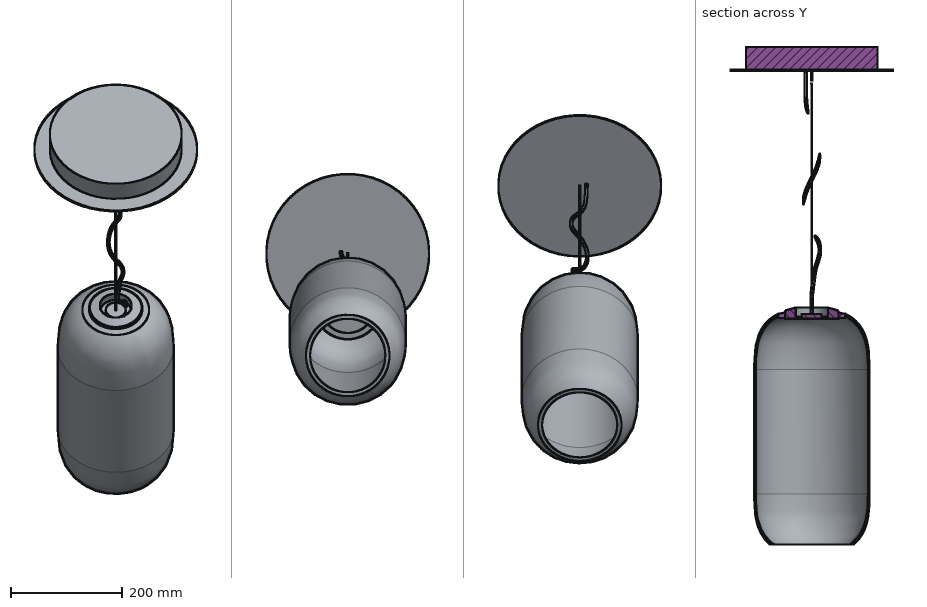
import cadquery as cq
import math

TOTAL_HEIGHT = 894.28

CANOPY_RADIUS = 118.5
CANOPY_HEIGHT = 41.0
PLATE_RADIUS = 146.47
PLATE_THICKNESS = 2.5

WIRE_RADIUS = 1.0
STUB_RADIUS = 1.5
STUB_LENGTH = 17.0
STUB_GAP = 5.0

CORD_RADIUS = 2.4
CORD_TOP_X = -10.8
CORD_TOP_Y = 6.0
CORD_BEND_START_Y = 6.5
CORD_BEND_END_Y = 13.0
CORD_BEND_RISE = 8.0
CORD_LOOPS = [
    (-10.6, 3.5, 810),
    (-9, 0.5, 786),
    (-3, -4, 767),
    (9, -5.5, 746),
    (14.8, -4, 714),
    (12, 1, 686),
    (0, 4.5, 657),
    (-11, 1.5, 632),
    (-15, -4, 602),
    (-9, -7.5, 577),
    (1, -5, 561),
    (12.5, 3, 543),
    (14.5, 5, 525),
    (7.5, 4.5, 499),
    (3, 4.5, 472),
    (0, 4.5, 444),
]

SHADE_RADIUS = 104.5
SHADE_WALL = 4.0
SHADE_STRAIGHT = 223.0
DOME_HEIGHT = 109.5
DOME_EXPONENT = 2.8
DOME_POINTS = 6
RIM_RADIUS = 75.0
OPENING_RADIUS = 60.0

COLLAR_RISE = 2.5
COLLAR_DEPTH = 8.0
CAP_RADIUS = 48.0
CAP_BAND = 4.0
CAP_EDGE_HEIGHT = 1.5
CAP_CONE_RISE = 5.0
CAP_CONE_RADIUS = 46.5
PIT_RADIUS = 28.5
PIT_DEPTH = 17.0
HUB_RADIUS = 18.0
HUB_DEPTH = 12.0
CAP_FLOOR = 4.0


def dome_height_at(radius, wall):
    """Height above the dome's base at a radius, on the surface lying `wall` inside the glass."""
    fraction = radius / (SHADE_RADIUS - wall)
    return (DOME_HEIGHT - wall) * (1 - fraction**DOME_EXPONENT) ** (1 / DOME_EXPONENT)


def dome_radius_at(height, wall):
    """Radius at a height above the dome's base, on the surface lying `wall` inside the glass."""
    fraction = height / (DOME_HEIGHT - wall)
    return (SHADE_RADIUS - wall) * (1 - fraction**DOME_EXPONENT) ** (1 / DOME_EXPONENT)


def dome_curve(end_radius, wall, base_z, direction):
    """Superellipse points (radius, Z) from the dome's base to its end radius."""
    end_ratio = (end_radius / (SHADE_RADIUS - wall)) ** (DOME_EXPONENT / 2)
    end_angle = math.acos(end_ratio)
    points = []
    for i in range(DOME_POINTS + 1):
        angle = end_angle * i / DOME_POINTS
        radius = (SHADE_RADIUS - wall) * math.cos(angle) ** (2 / DOME_EXPONENT)
        height = (DOME_HEIGHT - wall) * math.sin(angle) ** (2 / DOME_EXPONENT)
        points.append((radius, base_z + direction * height))
    return points


def revolve_about_z(profile):
    """Turn a closed (radius, Z) profile drawn on the XZ plane about the Z axis."""
    return profile.revolve(360, (0, 0), (0, 1))


lower_dome_base = dome_height_at(RIM_RADIUS, 0)
upper_dome_base = lower_dome_base + SHADE_STRAIGHT
opening_z = upper_dome_base + dome_height_at(OPENING_RADIUS, 0)
collar_top = opening_z + COLLAR_RISE
collar_bottom = opening_z - COLLAR_DEPTH
cap_band_top = collar_top + CAP_BAND
cap_top = cap_band_top + CAP_CONE_RISE
hub_top = cap_top - HUB_DEPTH
pit_bottom = cap_top - PIT_DEPTH
cap_bottom = pit_bottom - CAP_FLOOR
canopy_bottom = TOTAL_HEIGHT - CANOPY_HEIGHT
plate_bottom = canopy_bottom - PLATE_THICKNESS
stub_bottom = plate_bottom - STUB_LENGTH
wire_top = stub_bottom - STUB_GAP


def make_cylinder(radius, bottom, top):
    return cq.Workplane("XY").workplane(offset=bottom).circle(radius).extrude(top - bottom)


def make_shade():
    """Hollow glass shade, open at the lower rim and at the collar."""
    inner_rim_radius = dome_radius_at(lower_dome_base, SHADE_WALL)
    outer_lower = dome_curve(RIM_RADIUS, 0, lower_dome_base, -1)[::-1]
    outer_upper = dome_curve(OPENING_RADIUS, 0, upper_dome_base, 1)
    inner_upper = dome_curve(OPENING_RADIUS, SHADE_WALL, upper_dome_base, 1)[::-1]
    inner_lower = dome_curve(inner_rim_radius, SHADE_WALL, lower_dome_base, -1)
    profile = (
        cq.Workplane("XZ")
        .moveTo(*outer_lower[0])
        .spline(outer_lower[1:], includeCurrent=True)
        .lineTo(*outer_upper[0])
        .spline(outer_upper[1:], includeCurrent=True)
        .lineTo(*inner_upper[0])
        .spline(inner_upper[1:], includeCurrent=True)
        .lineTo(*inner_lower[0])
        .spline(inner_lower[1:], includeCurrent=True)
        .close()
    )
    return revolve_about_z(profile)


def make_collar():
    """Ring with a sloping top that fills the shade's opening around the cap."""
    profile = cq.Workplane("XZ").polyline([
        (CAP_RADIUS, collar_bottom),
        (OPENING_RADIUS, collar_bottom),
        (OPENING_RADIUS, opening_z),
        (CAP_RADIUS, collar_top),
    ]).close()
    return revolve_about_z(profile)


def make_cap():
    """Shallow conical cap with a bevelled edge, a central pit and a hub standing on the pit floor."""
    profile = cq.Workplane("XZ").polyline([
        (0, cap_bottom),
        (CAP_RADIUS, cap_bottom),
        (CAP_RADIUS, collar_top + CAP_EDGE_HEIGHT),
        (CAP_CONE_RADIUS, cap_band_top),
        (PIT_RADIUS, cap_top),
        (PIT_RADIUS, pit_bottom),
        (HUB_RADIUS, pit_bottom),
        (HUB_RADIUS, hub_top),
        (0, hub_top),
    ]).close()
    return revolve_about_z(profile)


def make_cord():
    """Slack cord that winds around the wire from the plate down to the pit floor."""
    entry_offset = (HUB_RADIUS + PIT_RADIUS) / 2
    path_points = [
        (CORD_TOP_X, CORD_TOP_Y, plate_bottom),
        *CORD_LOOPS,
        (0, CORD_BEND_START_Y, cap_top + CORD_BEND_RISE),
        (0, CORD_BEND_END_Y, cap_top),
        (0, entry_offset, pit_bottom),
    ]
    path = cq.Workplane("XY").spline(path_points, tangents=[(0, 0, -1), (0, 0, -1)])
    return cq.Workplane("XY", origin=path_points[0]).circle(CORD_RADIUS).sweep(path)


canopy = make_cylinder(CANOPY_RADIUS, canopy_bottom, TOTAL_HEIGHT)
plate = make_cylinder(PLATE_RADIUS, plate_bottom, canopy_bottom)
stub = make_cylinder(STUB_RADIUS, stub_bottom, plate_bottom)
wire = make_cylinder(WIRE_RADIUS, hub_top, wire_top)
cord = make_cord()
shade = make_shade()
collar = make_collar()
cap = make_cap()

result = cq.Compound.makeCompound([
    canopy.val(),
    plate.val(),
    stub.val(),
    wire.val(),
    cord.val(),
    shade.val(),
    collar.val(),
    cap.val(),
])